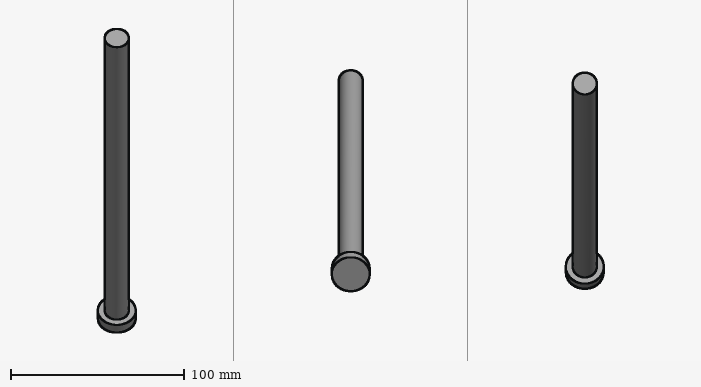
import cadquery as cq

total_length = 250.0
head_diameter = 22.0
head_thickness = 7.0
shaft_diameter = 14.0

head = cq.Workplane("XY").circle(head_diameter / 2).extrude(head_thickness)
shaft = cq.Workplane("XY").circle(shaft_diameter / 2).extrude(total_length)

result = head.union(shaft)